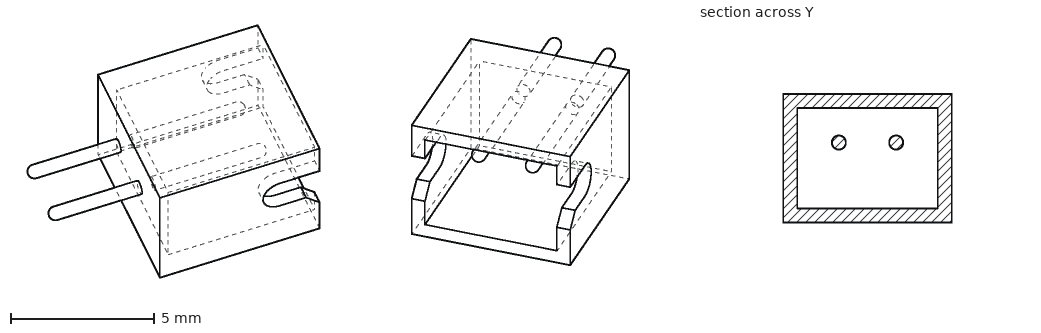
import cadquery as cq
import math

body_width = 5.9
body_height = 4.5
body_length = 6.0
wall = 0.5

slot_bottom = 1.97
slot_height = 1.26
slot_depth = 2.12
lead_in = 0.51

overall_length = 9.4
pin_diameter = 0.5
pin_spacing = 2.0
pin_height = 2.8
pin_back_gap = 1.26

body_front = overall_length - body_length
slot_radius = slot_height / 2
slot_top = slot_bottom + slot_height
slot_end = overall_length - slot_depth
slot_arc_start = slot_end + slot_radius


def make_housing():
    """Block whose side profile includes the slot and its chamfered lower lip."""
    profile = (
        cq.Workplane("YZ", origin=(-body_width / 2, 0, 0))
        .moveTo(body_front, 0)
        .lineTo(overall_length, 0)
        .lineTo(overall_length, slot_bottom - lead_in)
        .lineTo(overall_length - lead_in, slot_bottom)
        .lineTo(slot_arc_start, slot_bottom)
        .threePointArc((slot_end, slot_bottom + slot_radius), (slot_arc_start, slot_top))
        .lineTo(overall_length, slot_top)
        .lineTo(overall_length, body_height)
        .lineTo(body_front, body_height)
        .close()
    )
    return profile.extrude(body_width)


def make_cavity():
    """Rectangular socket open at the back, leaving an even wall on all other sides."""
    return cq.Workplane("XY", origin=(0, body_front + wall, wall)).box(
        body_width - 2 * wall,
        body_length - wall,
        body_height - 2 * wall,
        centered=(True, False, False),
    )


def make_pin(x):
    """Round pin along Y with a hemisphere at each end."""
    radius = pin_diameter / 2
    diagonal = radius * math.sqrt(0.5)
    back_tip = overall_length - pin_back_gap
    return (
        cq.Workplane("XY", origin=(x, 0, pin_height))
        .threePointArc((diagonal, radius - diagonal), (radius, radius))
        .lineTo(radius, back_tip - radius)
        .threePointArc((diagonal, back_tip - radius + diagonal), (0, back_tip))
        .close()
        .revolve(360, (0, 0, 0), (0, 1, 0))
    )


result = make_housing().cut(make_cavity())
for side in (-1, 1):
    result = result.union(make_pin(side * pin_spacing / 2))